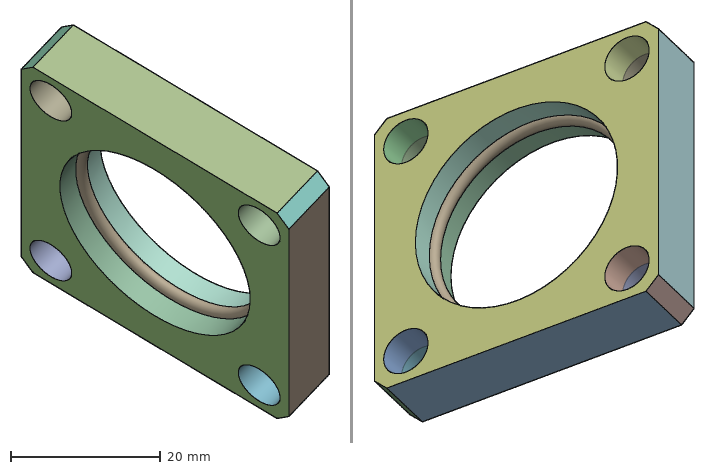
import cadquery as cq

plate_side = 45.0
plate_thickness = 9.0
corner_chamfer = 2.0

bore_diameter = 32.0
bead_radius = 1.0

hole_diameter = 7.0
hole_spacing = 35.0


def make_plate():
    """Chamfered plate centred on the origin, thickness along Y."""
    plate = cq.Workplane("XY").box(plate_side, plate_thickness, plate_side)
    return plate.edges("|Y").chamfer(corner_chamfer)


def make_bore_cutter():
    """Bore volume, narrowed at mid-thickness by the half-round bead."""
    bore_radius = bore_diameter / 2
    half_thickness = plate_thickness / 2
    profile = (
        cq.Workplane("XY")
        .moveTo(0, -half_thickness)
        .lineTo(bore_radius, -half_thickness)
        .lineTo(bore_radius, -bead_radius)
        .threePointArc((bore_radius - bead_radius, 0), (bore_radius, bead_radius))
        .lineTo(bore_radius, half_thickness)
        .lineTo(0, half_thickness)
        .close()
    )
    return profile.revolve(360, (0, 0, 0), (0, 1, 0))


def make_hole_cutters():
    """Four through holes on a square pattern."""
    return (
        cq.Workplane("XZ")
        .rect(hole_spacing, hole_spacing, forConstruction=True)
        .vertices()
        .circle(hole_diameter / 2)
        .extrude(plate_thickness, both=True)
    )


result = make_plate().cut(make_bore_cutter()).cut(make_hole_cutters())